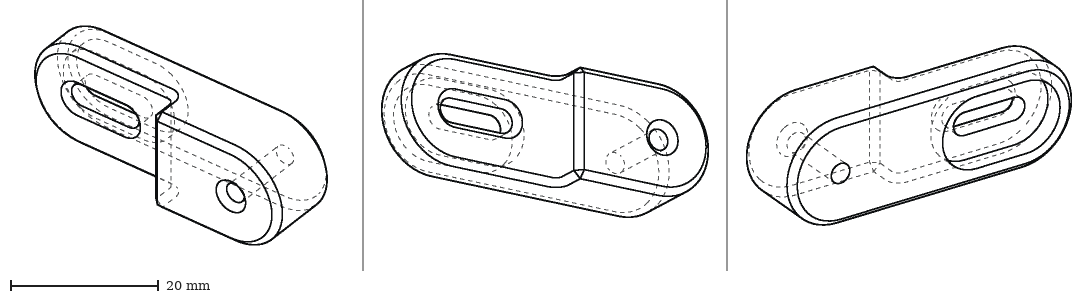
import cadquery as cq

length = 46.0
width = 16.0
block_thickness = 12.0
plate_thickness = 7.0
step_x = 24.45
step_fillet = 1.0
edge_chamfer = 1.0
chamfer_angle = 45

slot_width = 3.5
slot_travel = 8.0
recess_width = 11.0
recess_depth = 3.0
hole_diameter = 3.0

end_radius = width / 2
left_center_x = end_radius
right_center_x = length - end_radius
plate_front_y = block_thickness - plate_thickness
selection_margin = 0.05


def make_body():
    """Round-ended bar with its front cut back to leave the thin plate."""
    bar = (
        cq.Workplane("XZ")
        .center(length / 2, 0)
        .slot2D(length, width)
        .extrude(-block_thickness)
    )
    relief = cq.Workplane("XY").box(step_x, plate_front_y, width, centered=(False, False, True))
    return bar.cut(relief)


def soften_edges(body):
    """Round the inner step corner, then chamfer the back rim and the whole stepped front rim."""
    corner = cq.selectors.BoxSelector(
        (step_x - selection_margin, plate_front_y - selection_margin, -selection_margin),
        (step_x + selection_margin, plate_front_y + selection_margin, selection_margin),
    )
    body = body.edges(corner).fillet(step_fillet)
    plate_face = body.faces(cq.selectors.NearestToPointSelector((left_center_x, plate_front_y, 0)))
    step_sides = cq.selectors.BoxSelector(
        (step_x - step_fillet, 0, -width),
        (step_x + selection_margin, plate_front_y + selection_margin, width),
    )
    rims = body.faces(">Y or <Y").edges()
    rims = rims.add(plate_face.edges("not |Z"))
    rims = rims.add(body.edges(step_sides).edges("not |Z"))
    return rims.chamfer(edge_chamfer)


def opening(length_x, width_z, center_x, front_y):
    """Through opening with a chamfered front mouth; equal sides give a round hole."""

    def outline(growth):
        plane = cq.Workplane("XZ", origin=(center_x, front_y, 0))
        if length_x == width_z:
            return plane.circle(width_z / 2 + growth)
        return plane.slot2D(length_x + 2 * growth, width_z + 2 * growth)

    passage = outline(0).extrude(front_y - block_thickness)
    mouth = outline(edge_chamfer).extrude(-edge_chamfer, taper=chamfer_angle)
    return passage.union(mouth)


slot_center_x = left_center_x + slot_travel / 2
slot = opening(slot_travel + slot_width, slot_width, slot_center_x, plate_front_y)
hole = opening(hole_diameter, hole_diameter, right_center_x, 0)

recess = (
    cq.Workplane("XZ", origin=(slot_center_x, block_thickness, 0))
    .slot2D(slot_travel + recess_width, recess_width)
    .extrude(recess_depth)
)

result = soften_edges(make_body()).cut(slot).cut(recess).cut(hole)